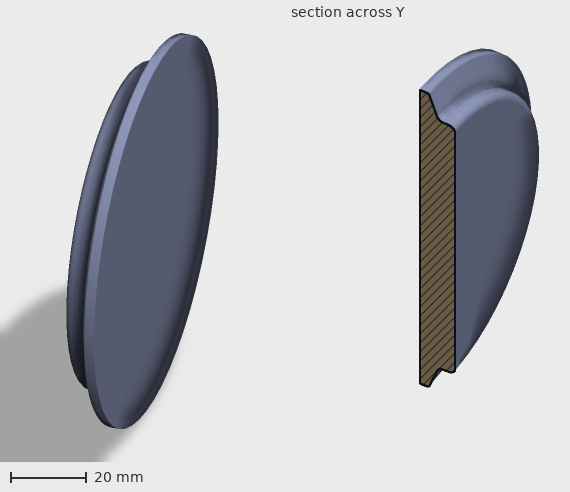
import cadquery as cq
import math

flange_diameter = 106.0
plug_diameter = 89.1
thickness = 11.0
rim_width = 2.9
rim_fillet = 0.8
face_fillet = 2.1
neck_fillet = 1.7
cone_angle = 20.0

flange_radius = flange_diameter / 2
plug_radius = plug_diameter / 2
front_x = -thickness / 2
back_x = thickness / 2
rim_x = back_x - rim_width
cone_run = (flange_radius - plug_radius) * math.tan(math.radians(cone_angle))
neck_x = rim_x - cone_run

section = (
    cq.Workplane("XY")
    .moveTo(front_x, 0)
    .lineTo(front_x, plug_radius)
    .lineTo(neck_x, plug_radius)
    .lineTo(rim_x, flange_radius)
    .lineTo(back_x, flange_radius)
    .lineTo(back_x, 0)
    .close()
)
body = section.revolve(360, (0, 0, 0), (1, 0, 0))


def round_edge(part, edge_x, radius):
    """Round the circular edge whose centre lies at edge_x."""
    margin = 0.01
    edge_zone = cq.selectors.BoxSelector(
        (edge_x - margin, -flange_diameter, -flange_diameter),
        (edge_x + margin, flange_diameter, flange_diameter),
    )
    return part.edges("%CIRCLE").edges(edge_zone).fillet(radius)


body = round_edge(body, front_x, face_fillet)
body = round_edge(body, neck_x, neck_fillet)
result = round_edge(body, rim_x, rim_fillet)